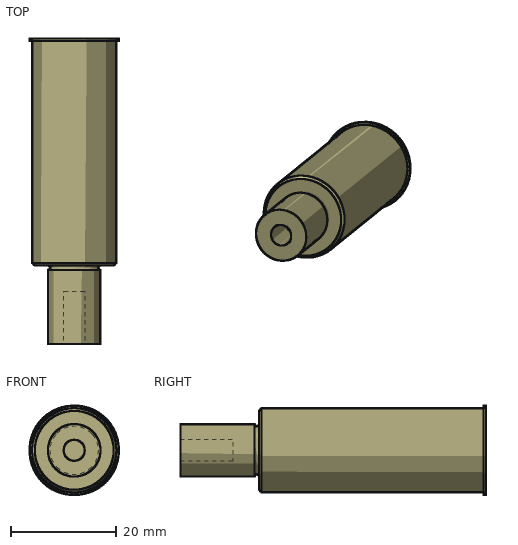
import cadquery as cq

total_length = 58.0
shank_length = 14.1
flange_thickness = 0.45

flange_diameter = 17.0
body_diameter = 16.0
shank_diameter = 10.0
bore_diameter = 4.0

body_edge_chamfer = 0.5
groove_radius = 0.4
bore_depth = 10.0

body_start = shank_length + 2 * groove_radius


def turned_body():
    """Revolve the stepped half profile about the Y axis."""
    flange_radius = flange_diameter / 2
    body_radius = body_diameter / 2
    shank_radius = shank_diameter / 2
    flange_start = total_length - flange_thickness

    groove_bottom = (shank_radius - groove_radius, shank_length + groove_radius)

    profile = (
        cq.Workplane("XY")
        .lineTo(shank_radius, 0)
        .lineTo(shank_radius, shank_length)
        .threePointArc(groove_bottom, (shank_radius, body_start))
        .lineTo(body_radius - body_edge_chamfer, body_start)
        .lineTo(body_radius, body_start + body_edge_chamfer)
        .lineTo(body_radius, flange_start)
        .lineTo(flange_radius, flange_start)
        .lineTo(flange_radius, total_length)
        .lineTo(0, total_length)
        .close()
    )
    return profile.revolve(360, (0, 0, 0), (0, 1, 0))


def end_bore():
    """Flat-bottomed blind hole in the free end of the shank."""
    return cq.Workplane("XZ").circle(bore_diameter / 2).extrude(-bore_depth)


result = turned_body().cut(end_bore())